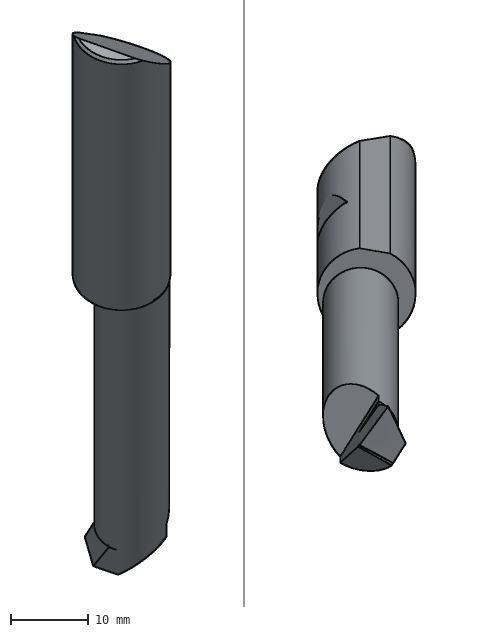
import cadquery as cq
import math

total_length = 101.6
shank_diameter = 12.7
shank_radius = shank_diameter / 2
shoulder_z = 53.4

neck_diameter = 9.8
neck_radius = neck_diameter / 2
neck_x = shank_radius - neck_radius

flat_start_y = 0.2
flat_end_y = 4.0

end_chamfer = 0.4
bevel_start_y = -4.4

notch_bottom_z = 70.7
notch_top_z = 78.9
notch_depth = 1.2

tip_face_y = 0.2
tip_face_top_z = 7.5
corner_bevel_z = 5.3

tooth_top_z = 5.5
tooth_top_x = -3.3
tooth_tip_x = -5.5
tooth_root_x = neck_x
tooth_root_z = 0.4
side_relief = 3.8
end_relief = 0.7
rake_drop = 0.4

cut_size = 2 * shank_diameter


def prism_along_x(yz_points):
    """Prism crossing the whole bar along X."""
    return cq.Workplane("YZ").polyline(yz_points).close().extrude(cut_size / 2, both=True)


def chord_x(y):
    """X of the -X half of the shank circle at the given Y."""
    return -math.sqrt(shank_radius**2 - y**2)


def make_shank():
    shank = (
        cq.Workplane("XY")
        .workplane(offset=shoulder_z)
        .circle(shank_radius)
        .extrude(total_length - shoulder_z)
        .faces(">Z")
        .chamfer(end_chamfer)
    )
    flat = (
        cq.Workplane("XY")
        .moveTo(chord_x(flat_start_y), flat_start_y)
        .lineTo(chord_x(flat_end_y), flat_end_y)
        .lineTo(-cut_size, flat_end_y)
        .lineTo(-cut_size, flat_start_y)
        .close()
        .extrude(total_length)
    )
    bevel = prism_along_x([
        (bevel_start_y, total_length),
        (bevel_start_y + cut_size, total_length - cut_size),
        (bevel_start_y + cut_size, total_length),
    ])
    notch = prism_along_x([
        (shank_radius, notch_top_z),
        (shank_radius - notch_depth, notch_bottom_z + notch_depth),
        (shank_radius, notch_bottom_z),
    ])
    return shank.cut(flat).cut(bevel).cut(notch)


def make_neck():
    neck = cq.Workplane("XY").center(neck_x, 0).circle(neck_radius).extrude(shoulder_z)
    half_cut = prism_along_x([
        (tip_face_y, 0),
        (tip_face_y, tip_face_top_z),
        (tip_face_y + cut_size, tip_face_top_z + cut_size),
        (tip_face_y + cut_size, 0),
    ])
    corner = (
        cq.Workplane("XZ")
        .moveTo(shank_radius, corner_bevel_z)
        .lineTo(shank_radius - corner_bevel_z, 0)
        .lineTo(shank_radius, 0)
        .close()
        .extrude(cut_size / 2, both=True)
    )
    end_clearance = cq.Workplane("XY").box(
        cut_size, cut_size, tooth_root_z + end_relief / 2, centered=(True, True, False)
    )
    tooth_seat = cq.Workplane("XY").box(
        cut_size, cut_size, tooth_top_z, centered=(True, True, False)
    ).translate((tooth_root_x - cut_size / 2, 0, 0))
    return neck.cut(half_cut).cut(corner).cut(end_clearance).cut(tooth_seat)


def make_tooth():
    relief_depth = tip_face_y + neck_radius
    tip_z = -end_relief * rake_drop / (relief_depth - rake_drop)
    front_z = tooth_root_z + end_relief / 2
    tooth = (
        cq.Workplane("XZ", origin=(0, tip_face_y, 0))
        .polyline([
            (tooth_top_x, tooth_top_z),
            (tooth_tip_x, tip_z),
            (tooth_root_x, tooth_root_z),
            (tooth_root_x, tooth_top_z),
        ])
        .close()
        .workplane(offset=relief_depth)
        .polyline([
            (tooth_top_x + side_relief, tooth_top_z),
            (tooth_tip_x + side_relief, end_relief),
            (tooth_root_x, front_z),
            (tooth_root_x, tooth_top_z),
        ])
        .close()
        .loft(ruled=True)
    )
    rake = (
        cq.Workplane("XY")
        .workplane(offset=tip_z)
        .moveTo(tooth_root_x, tip_face_y)
        .lineTo(tooth_tip_x, tip_face_y - rake_drop)
        .lineTo(tooth_tip_x, tip_face_y)
        .close()
        .extrude(tooth_top_z - tip_z)
    )
    return tooth.cut(rake)


result = make_shank().union(make_neck()).union(make_tooth())